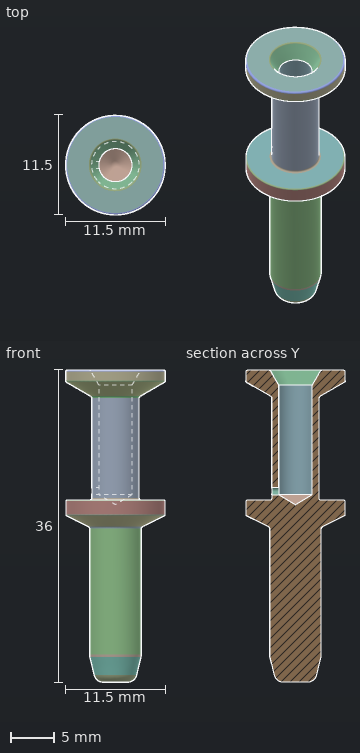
import cadquery as cq
import math

TOTAL_HEIGHT = 35.95
HEAD_RADIUS = 5.75
COLLAR_RADIUS = 5.7
NECK_RADIUS = 2.75
SHANK_RADIUS = 3.0

HEAD_RIM_BOTTOM = 34.6
HEAD_CONE_SLOPE = 30.0
COLLAR_TOP = 21.0
COLLAR_RIM_BOTTOM = 19.2
COLLAR_CONE_SLOPE = 26.5

TIP_HEIGHT = 3.02
TIP_TAPER = 13.5
TIP_ROUNDING = 1.08
TIP_BLEND = 1.08

HEAD_ROUNDING = 0.2
COLLAR_ROUNDING = 0.15
NECK_ROUNDING = 0.2
MOUTH_ROUNDING = 0.2

BORE_RADIUS = 1.9
MOUTH_RADIUS = 2.9
MOUTH_HALF_ANGLE = 30.0
DRILL_HALF_ANGLE = 59.0
VENT_RADIUS = 0.4
VENT_HEIGHT = 22.0
BORE_BOTTOM = VENT_HEIGHT - VENT_RADIUS


def tan_deg(angle):
    return math.tan(math.radians(angle))


def revolve_outline(points):
    """Revolve a closed outline of (radius, height) points about Z."""
    return cq.Workplane("XZ").polyline(points).close().revolve(360, (0, 0, 0), (0, 1, 0))


def round_circle(body, radius, height, rounding):
    """Round the circular edge of the given radius lying at the given height."""
    margin = 0.005
    reach = radius + margin
    edge = cq.selectors.BoxSelector(
        (-reach, -reach, height - margin), (reach, reach, height + margin), boundingbox=True
    )
    largest = cq.selectors.RadiusNthSelector(-1)
    return body.edges(edge).edges(largest).fillet(rounding)


def make_body():
    head_cone_bottom = HEAD_RIM_BOTTOM - (HEAD_RADIUS - NECK_RADIUS) * tan_deg(HEAD_CONE_SLOPE)
    collar_cone_bottom = COLLAR_RIM_BOTTOM - (COLLAR_RADIUS - SHANK_RADIUS) * tan_deg(COLLAR_CONE_SLOPE)
    tip_radius = SHANK_RADIUS - TIP_HEIGHT * tan_deg(TIP_TAPER)
    body = revolve_outline([
        (0, 0),
        (tip_radius, 0),
        (SHANK_RADIUS, TIP_HEIGHT),
        (SHANK_RADIUS, collar_cone_bottom),
        (COLLAR_RADIUS, COLLAR_RIM_BOTTOM),
        (COLLAR_RADIUS, COLLAR_TOP),
        (NECK_RADIUS, COLLAR_TOP),
        (NECK_RADIUS, head_cone_bottom),
        (HEAD_RADIUS, HEAD_RIM_BOTTOM),
        (HEAD_RADIUS, TOTAL_HEIGHT),
        (0, TOTAL_HEIGHT),
    ])
    roundings = [
        (tip_radius, 0, TIP_ROUNDING),
        (SHANK_RADIUS, TIP_HEIGHT, TIP_BLEND),
        (SHANK_RADIUS, collar_cone_bottom, NECK_ROUNDING),
        (COLLAR_RADIUS, COLLAR_RIM_BOTTOM, COLLAR_ROUNDING),
        (COLLAR_RADIUS, COLLAR_TOP, COLLAR_ROUNDING),
        (NECK_RADIUS, COLLAR_TOP, NECK_ROUNDING),
        (NECK_RADIUS, head_cone_bottom, NECK_ROUNDING),
        (HEAD_RADIUS, HEAD_RIM_BOTTOM, HEAD_ROUNDING),
        (HEAD_RADIUS, TOTAL_HEIGHT, HEAD_ROUNDING),
    ]
    for radius, height, rounding in roundings:
        body = round_circle(body, radius, height, rounding)
    return body


def make_bore():
    mouth_depth = (MOUTH_RADIUS - BORE_RADIUS) / tan_deg(MOUTH_HALF_ANGLE)
    drill_point = BORE_BOTTOM - BORE_RADIUS / tan_deg(DRILL_HALF_ANGLE)
    return revolve_outline([
        (0, drill_point),
        (BORE_RADIUS, BORE_BOTTOM),
        (BORE_RADIUS, TOTAL_HEIGHT - mouth_depth),
        (MOUTH_RADIUS, TOTAL_HEIGHT),
        (0, TOTAL_HEIGHT),
    ])


def make_vent():
    """Radial hole from the -X side of the neck into the bore."""
    return (
        cq.Workplane("YZ")
        .center(0, VENT_HEIGHT)
        .circle(VENT_RADIUS)
        .extrude(-HEAD_RADIUS)
    )


pin = make_body().cut(make_bore())
pin = round_circle(pin, MOUTH_RADIUS, TOTAL_HEIGHT, MOUTH_ROUNDING)
result = pin.cut(make_vent())